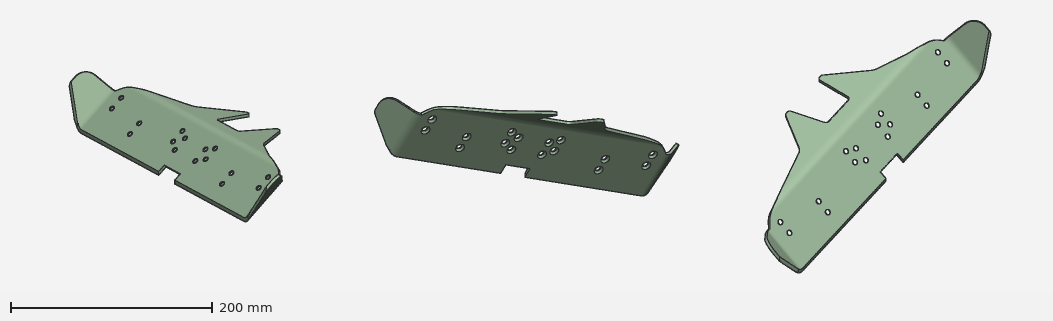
import cadquery as cq
import math


thickness = 3.175
bend_inner_radius = 9.525
bend_outer_radius = bend_inner_radius + thickness
bend_angle = 45.0
overall_length = 368.3
overall_depth = 112.05
main_slope = 40.0
tail_drop = bend_angle - main_slope
front_bevel = main_slope
bevel_reach = thickness * math.tan(math.radians(front_bevel))

main_depth = 60.6
main_half_length = 151.4
notch_width = 29.8
notch_depth = 8.5
fittings_offset = 7.62

hole_diameter = 5.4
hole_land = 1.0
countersink_diameter = 9.525
end_holes = (136.8, (34.3, 48.6))
middle_holes = (85.9, (20.0, 34.3))
inner_wide_holes = (30.4, (34.3, 48.6))
inner_close_holes = (19.05, (27.6, 43.2))

shoulder_radius = 29.0
shoulder_inset = 4.3
shoulder_start_angle = 45.0
shoulder_end_angle = 76.0
wing_depth = 51.9

wing_sweep = 41.0
wing_heel_radius = 12.7
wing_top_radius = 14.5
wing_tip_radius = 7.0

tail_half_length = 110.5
prong_offset = 10.16
prong_root_half_width = 64.5
prong_root_depth = 15.4
prong_outer_half_width = 31.5
prong_inner_half_width = 25.4
slot_half_width = 20.3
slot_floor_depth = 14.0
slot_lean = 20.0
prong_root_radius = 15.0
prong_tip_radius = 2.5
slot_corner_radius = 3.0


def sine(degrees):
    return math.sin(math.radians(degrees))


def cosine(degrees):
    return math.cos(math.radians(degrees))


def tangent(degrees):
    return math.tan(math.radians(degrees))


def slope_plane(origin, angle):
    """Plane facing up, with its Y axis climbing toward the rear at the given angle."""
    return cq.Plane(origin=origin, xDir=(1, 0, 0), normal=(0, -sine(angle), cosine(angle)))


main_plane = slope_plane((0, 0, 0), main_slope)

shoulder_centre_x = main_half_length - shoulder_inset - shoulder_radius * cosine(shoulder_start_angle)
shoulder_centre_y = wing_depth + shoulder_inset - shoulder_radius * sine(shoulder_start_angle)
shoulder_seam_angle = math.degrees(math.asin((main_depth - shoulder_centre_y) / shoulder_radius))


def shoulder_point(angle):
    """Point on the shoulder arc of the right end, in main plate coordinates."""
    x = shoulder_centre_x + shoulder_radius * cosine(angle)
    y = shoulder_centre_y + shoulder_radius * sine(angle)
    return x, y


def heel_point(angle):
    """Point on the heel arc, as distance past the main plate's end and up its slope."""
    return wing_heel_radius * sine(angle), wing_heel_radius * (1 - cosine(angle))


wing_bend_length = bend_inner_radius * math.radians(bend_angle)


def mirrored(points):
    return [(-x, y) for x, y in points]


def round_corner(sheet, corner, radius):
    return sheet.edges(cq.selectors.NearestToPointSelector(corner.toTuple())).fillet(radius)


def drill_pair(plate, centre, holes):
    half_spacing, depths = holes
    places = [(centre + side * half_spacing, depth) for side in (-1, 1) for depth in depths]
    for x, y in places:
        hole = cq.Workplane(main_plane).center(x, y).circle(hole_diameter / 2).extrude(-thickness)
        countersink = (
            cq.Workplane(main_plane)
            .workplane(offset=-hole_land)
            .center(x, y)
            .circle(hole_diameter / 2)
            .workplane(offset=hole_land - thickness)
            .circle(countersink_diameter / 2)
            .loft()
        )
        plate = plate.cut(hole).cut(countersink)
    return plate


def make_main_plate():
    arc_start = shoulder_point(shoulder_start_angle)
    arc_middle = shoulder_point((shoulder_start_angle + shoulder_seam_angle) / 2)
    arc_end = shoulder_point(shoulder_seam_angle)
    left_start, left_middle, left_end = mirrored([arc_start, arc_middle, arc_end])
    plate = (
        cq.Workplane(main_plane)
        .moveTo(-main_half_length, -bevel_reach)
        .lineTo(main_half_length, -bevel_reach)
        .lineTo(main_half_length, wing_depth)
        .lineTo(*arc_start)
        .threePointArc(arc_middle, arc_end)
        .lineTo(*left_end)
        .threePointArc(left_middle, left_start)
        .lineTo(-main_half_length, wing_depth)
        .close()
        .extrude(-thickness)
    )
    notch = (
        cq.Workplane(main_plane)
        .center(fittings_offset, 0)
        .rect(notch_width, 2 * notch_depth)
        .extrude(-thickness)
    )
    plate = plate.cut(notch)
    plate = drill_pair(plate, 0, end_holes)
    plate = drill_pair(plate, 0, middle_holes)
    plate = drill_pair(plate, fittings_offset, inner_wide_holes)
    return drill_pair(plate, fittings_offset, inner_close_holes)


wedge_near = bend_inner_radius / 2
wedge_far = bend_outer_radius * 1.5


def bend_ring(axis_plane, length):
    ring = cq.Workplane(axis_plane).circle(bend_outer_radius).circle(bend_inner_radius)
    return ring.extrude(length, both=True)


def make_tail_bend():
    axis = main_plane.toWorldCoords((0, main_depth, -bend_outer_radius))
    middle_slope = main_slope - bend_angle / 2

    def wedge_section(distance):
        def place(point):
            x, y = point
            turn = math.degrees((y - main_depth) / bend_outer_radius) - bend_angle / 2
            return x, distance * tangent(turn)

        seam = place(shoulder_point(shoulder_seam_angle))
        middle = place(shoulder_point((shoulder_seam_angle + shoulder_end_angle) / 2))
        arc_end = place(shoulder_point(shoulder_end_angle))
        tail_corner = (tail_half_length, distance * tangent(bend_angle / 2))
        left_seam, left_middle, left_end, left_corner = mirrored([seam, middle, arc_end, tail_corner])
        plane = slope_plane(axis.toTuple(), middle_slope)
        section = (
            cq.Workplane(plane)
            .workplane(offset=distance)
            .moveTo(*left_seam)
            .lineTo(*seam)
            .threePointArc(middle, arc_end)
            .lineTo(*tail_corner)
            .lineTo(*left_corner)
            .lineTo(*left_end)
            .threePointArc(left_middle, left_seam)
            .wire()
        )
        return section.val()

    wedge = cq.Solid.makeLoft([wedge_section(wedge_near), wedge_section(wedge_far)], True)
    axis_plane = cq.Plane(origin=axis.toTuple(), xDir=(0, 1, 0), normal=(1, 0, 0))
    return bend_ring(axis_plane, main_half_length).intersect(cq.Workplane(wedge))


def make_tail():
    bend_centre = main_plane.toWorldCoords((0, main_depth, -bend_outer_radius))
    origin = bend_centre + cq.Vector(0, sine(tail_drop), cosine(tail_drop)) * bend_outer_radius
    tail_plane = slope_plane(origin.toTuple(), -tail_drop)
    tail_depth = (overall_depth - origin.y) / cosine(tail_drop)

    half_outline = [(prong_root_half_width, prong_root_depth), (prong_outer_half_width, tail_depth)]
    right_side = [(prong_offset + x, y) for x, y in half_outline]
    left_side = [(prong_offset - x, y) for x, y in reversed(half_outline)]
    corners = [(tail_half_length, 0)] + right_side + left_side + [(-tail_half_length, 0)]
    plate = cq.Workplane(tail_plane).polyline(corners).close().extrude(-thickness)

    slot_origin = tail_plane.toWorldCoords((prong_offset, slot_floor_depth))
    slot_plane = slope_plane(slot_origin.toTuple(), slot_lean - tail_drop)
    slot_depth = tail_depth - slot_floor_depth
    mouth_depth = slot_depth * cosine(slot_lean)
    slot_overshoot = 2.0
    mouth_half_width = slot_half_width + (prong_inner_half_width - slot_half_width) * slot_overshoot
    slot = (
        cq.Workplane(slot_plane)
        .moveTo(-slot_half_width, 0)
        .lineTo(slot_half_width, 0)
        .lineTo(mouth_half_width, slot_overshoot * mouth_depth)
        .lineTo(-mouth_half_width, slot_overshoot * mouth_depth)
        .close()
        .extrude(slot_depth, both=True)
    )
    for side in (-1, 1):
        corner = slot_plane.toWorldCoords((side * slot_half_width, 0))
        slot = round_corner(slot, corner, slot_corner_radius)
    plate = plate.cut(slot)

    rounded_corners = [
        (prong_root_half_width, prong_root_depth, prong_root_radius),
        (prong_outer_half_width, tail_depth, prong_tip_radius),
        (prong_inner_half_width, tail_depth, prong_tip_radius),
    ]
    for x, y, radius in rounded_corners:
        for side in (-1, 1):
            corner = tail_plane.toWorldCoords((prong_offset + side * x, y, -thickness / 2))
            plate = round_corner(plate, corner, radius)
    return plate


def make_wing_bend():
    axis = main_plane.toWorldCoords((main_half_length, 0, bend_inner_radius))
    up_slope = main_plane.yDir
    middle_normal = main_plane.zDir * -cosine(bend_angle / 2) + main_plane.xDir * sine(bend_angle / 2)
    plane = cq.Plane(origin=axis.toTuple(), xDir=up_slope.toTuple(), normal=middle_normal.toTuple())

    def wedge_section(distance):
        def turn_at(run):
            return math.degrees(run / bend_inner_radius) - bend_angle / 2

        def place(run, depth):
            return depth, distance * tangent(turn_at(run))

        def place_on_heel(run):
            below_top_face = distance / cosine(turn_at(run)) - bend_inner_radius
            radius = wing_heel_radius + below_top_face * tangent(front_bevel)
            return place(run, wing_heel_radius - math.sqrt(radius**2 - run**2))

        return (
            cq.Workplane(plane)
            .workplane(offset=distance)
            .moveTo(*place_on_heel(0))
            .threePointArc(place_on_heel(wing_bend_length / 2), place_on_heel(wing_bend_length))
            .lineTo(*place(wing_bend_length, wing_depth))
            .lineTo(*place(0, wing_depth))
            .close()
            .val()
        )

    wedge = cq.Solid.makeLoft([wedge_section(wedge_near), wedge_section(wedge_far)], True)
    axis_plane = cq.Plane(origin=axis.toTuple(), xDir=(1, 0, 0), normal=up_slope.toTuple())
    return bend_ring(axis_plane, main_depth).intersect(cq.Workplane(wedge))


def make_wing():
    bend_run = bend_inner_radius * sine(bend_angle)
    bend_lift = bend_inner_radius * (1 - cosine(bend_angle))
    origin = main_plane.toWorldCoords((main_half_length + bend_run, 0, bend_lift))
    outward = main_plane.xDir * cosine(bend_angle) + main_plane.zDir * sine(bend_angle)
    normal = main_plane.zDir * cosine(bend_angle) - main_plane.xDir * sine(bend_angle)
    wing_plane = cq.Plane(origin=origin.toTuple(), xDir=outward.toTuple(), normal=normal.toTuple())

    tip_inset = thickness * sine(bend_angle)
    wing_length = (overall_length / 2 - tip_inset - origin.x) / cosine(bend_angle)

    def on_wing(point):
        run, depth = point
        return run - wing_bend_length, depth

    heel_start = on_wing(heel_point(0))
    arc_middle = on_wing(heel_point(wing_sweep / 2))
    arc_end = on_wing(heel_point(wing_sweep))

    def edge_depth(run):
        return arc_end[1] + (run - arc_end[0]) * tangent(wing_sweep)

    tip_depth = edge_depth(wing_length) - bevel_reach / cosine(wing_sweep)
    heel_corner_run = wing_length - (tip_depth + bevel_reach) / tangent(wing_sweep)
    plate = (
        cq.Workplane(wing_plane)
        .moveTo(0, -bevel_reach)
        .lineTo(heel_corner_run, -bevel_reach)
        .lineTo(wing_length, tip_depth)
        .lineTo(wing_length, wing_depth)
        .lineTo(0, wing_depth)
        .close()
        .extrude(-thickness)
    )
    for depth, radius in ((tip_depth, wing_tip_radius), (wing_depth, wing_top_radius)):
        corner = wing_plane.toWorldCoords((wing_length, depth, -thickness / 2))
        plate = round_corner(plate, corner, radius)

    above_edge = (
        cq.Workplane(wing_plane)
        .moveTo(*heel_start)
        .threePointArc(arc_middle, arc_end)
        .lineTo(2 * wing_length, edge_depth(2 * wing_length))
        .lineTo(2 * wing_length, 2 * wing_depth)
        .lineTo(heel_start[0], 2 * wing_depth)
        .close()
        .extrude(-thickness, taper=-front_bevel)
    )
    return plate.intersect(above_edge)


def trim_front(sheet):
    """Keep only what lies behind the vertical plane of the main plate's front edge."""
    in_front = cq.Workplane("XZ").rect(2 * overall_length, 2 * overall_depth).extrude(overall_depth)
    return sheet.cut(in_front)


body = make_main_plate().union(make_tail_bend()).union(make_tail())
right_wing = make_wing_bend().union(make_wing())
whole = body.union(right_wing).union(right_wing.mirror("YZ"))
result = trim_front(whole)